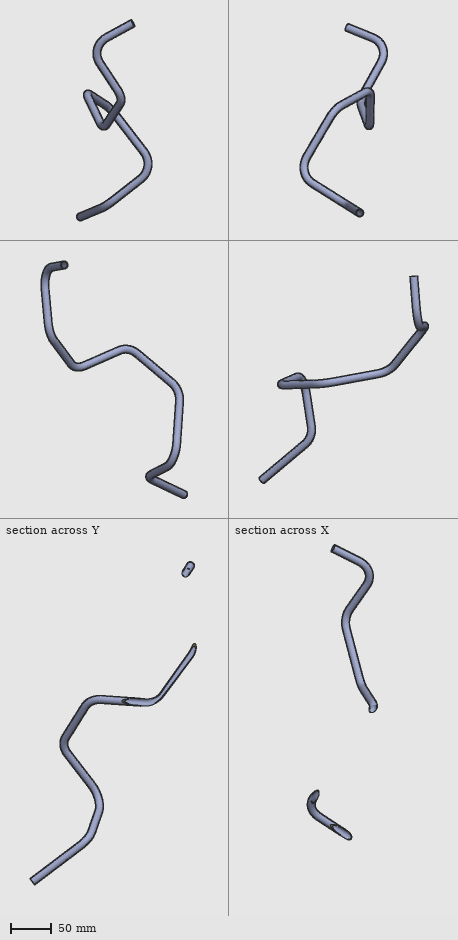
import cadquery as cq
import math

outer_diameter = 10.0
wall_thickness = 1.0
bend_radius = 25.0

corner_points = [
    (1.0, -0.5, 0),
    (71.5, -1.2, 53.5),
    (88.0, 59.7, 102.0),
    (36.0, 23.3, 169.5),
    (72.0, -30.0, 227.0),
    (153.5, -47.5, 221.3),
    (205.3, -46.0, 292.2),
    (177.5, -79.5, 361.5),
    (197.2, -28.5, 392.5),
]
corners = [cq.Vector(*point) for point in corner_points]


def bend_points(before, corner, after):
    """Start, middle and end of the arc that rounds one corner of the centreline."""
    to_before = (before - corner).normalized()
    to_after = (after - corner).normalized()
    half_angle = to_before.getAngle(to_after) / 2
    setback = bend_radius / math.tan(half_angle)
    corner_to_arc = bend_radius / math.sin(half_angle) - bend_radius
    inward = (to_before + to_after).normalized()
    return (
        corner + to_before * setback,
        corner + inward * corner_to_arc,
        corner + to_after * setback,
    )


def centreline():
    """Straight runs and tangent bends from one tube end to the other."""
    edges = []
    run_start = corners[0]
    for before, corner, after in zip(corners, corners[1:], corners[2:]):
        bend_start, bend_middle, bend_end = bend_points(before, corner, after)
        edges.append(cq.Edge.makeLine(run_start, bend_start))
        edges.append(cq.Edge.makeThreePointArc(bend_start, bend_middle, bend_end))
        run_start = bend_end
    edges.append(cq.Edge.makeLine(run_start, corners[-1]))
    return cq.Wire.assembleEdges(edges)


outer_radius = outer_diameter / 2
inner_radius = outer_radius - wall_thickness
end_plane = cq.Plane(origin=corners[0], normal=corners[1] - corners[0])
section = cq.Workplane(end_plane).circle(outer_radius).circle(inner_radius)
result = section.sweep(cq.Workplane(obj=centreline()))